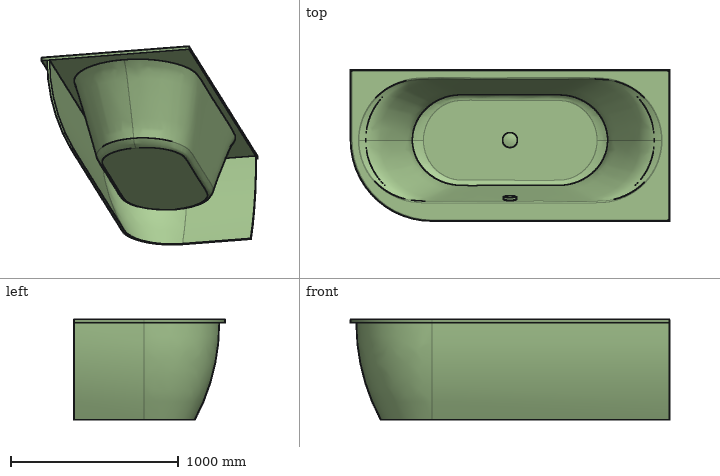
import cadquery as cq
import math

LENGTH = 1900.0
WIDTH = 900.0
HEIGHT = 600.0
LEFT = -LENGTH / 2
RIGHT = LENGTH / 2
FRONT = -WIDTH / 2
BACK = WIDTH / 2

RIM_THICKNESS = 23.0
RIM_FILLET = 8.5
CORNER_RADIUS = 485.0
RIM_BOTTOM = HEIGHT - RIM_THICKNESS

PANEL_THICKNESS = 15.0
PANEL_TOP_INSET = 35.0
PANEL_BOTTOM_INSET = 180.0

BASIN_Y = 32.0
WALL = 15.0
FLOOR_Z = 152.0
LIP_FILLET = 10.0
LIP_HALF_LENGTH = 903.0
LIP_HALF_WIDTH = 365.0
LIP_STRAIGHT = LIP_HALF_LENGTH - LIP_HALF_WIDTH
FOOT_RISE = 23.0
FOOT_HALF_LENGTH = 581.0
FOOT_HALF_WIDTH = 270.0
FOOT_STRAIGHT = 289.0
FOOT_Z = FLOOR_Z + FOOT_RISE
FLOOR_HALF_LENGTH = 517.0
FLOOR_HALF_WIDTH = 238.0
END_WALL_CURVE = [(0.0, 0.0), (0.4, 0.27), (0.7, 0.51), (0.88, 0.7), (1.0, 1.0)]
POINTS_PER_QUARTER = 8
BORDER_STEPS = (0.0, 0.5, 1.0)

DOME_HEIGHT = 8.0
DRAIN_DIAMETER = 90.0
DRAIN_SIDE_HEIGHT = 4.0
OVERFLOW_DIAMETER = 80.0
OVERFLOW_SIDE_HEIGHT = 19.0
OVERFLOW_SINK = 8.0
OVERFLOW_TILT = 6.0
OVERFLOW_Z = 532.0


def blend(start, end, share):
    return start + (end - start) * share


def oval_half(half_length, half_width, straight, z, side):
    """Smooth half of an oval, from its -X tip to its +X tip, on the +Y (1) or -Y (-1) side."""
    end_length = half_length - straight
    angles = [math.pi / 2 * i / POINTS_PER_QUARTER for i in range(POINTS_PER_QUARTER + 1)]
    quarter = [(straight + end_length * math.cos(a), half_width * math.sin(a)) for a in angles]
    middle = [(straight * share, half_width) for share in (0.5, 0.0, -0.5)]
    outline = quarter + middle + [(-x, y) for x, y in reversed(quarter)]
    points = [cq.Vector(x, BASIN_Y + side * y, z) for x, y in reversed(outline)]
    tip_tangents = [cq.Vector(0, side, 0), cq.Vector(0, -side, 0)]
    return cq.Edge.makeSpline(points, tangents=tip_tangents, scale=False)


def oval(half_length, half_width, straight, z):
    halves = [oval_half(half_length, half_width, straight, z, side) for side in (1, -1)]
    return cq.Wire.assembleEdges(halves)


def basin_solid(offset):
    """Wall volume from foot to lip, grown sideways by the offset."""
    sections = []
    for rise, run in END_WALL_CURVE:
        half_length = blend(FOOT_HALF_LENGTH, LIP_HALF_LENGTH, run) + offset
        half_width = blend(FOOT_HALF_WIDTH, LIP_HALF_WIDTH, rise) + offset
        straight = blend(FOOT_STRAIGHT, LIP_STRAIGHT, run)
        sections.append(oval(half_length, half_width, straight, blend(FOOT_Z, HEIGHT, rise)))
    return cq.Workplane(cq.Solid.makeLoft(sections))


def floor_border(offset, floor_z):
    """Dished border that starts level with the floor and steepens towards the foot of the wall."""
    sections = []
    for run in BORDER_STEPS:
        half_length = blend(FLOOR_HALF_LENGTH, FOOT_HALF_LENGTH, run) + offset
        half_width = blend(FLOOR_HALF_WIDTH, FOOT_HALF_WIDTH, run) + offset
        z = blend(floor_z, FOOT_Z, run**2)
        sections.append(oval(half_length, half_width, FOOT_STRAIGHT, z))
    return cq.Workplane(cq.Solid.makeLoft(sections))


def make_rim():
    return (
        cq.Workplane("XY", origin=(0, 0, RIM_BOTTOM))
        .moveTo(LEFT, BACK)
        .lineTo(LEFT, FRONT + CORNER_RADIUS)
        .radiusArc((LEFT + CORNER_RADIUS, FRONT), -CORNER_RADIUS)
        .lineTo(RIGHT, FRONT)
        .lineTo(RIGHT, BACK)
        .close()
        .extrude(RIM_THICKNESS)
        .faces(">Z")
        .edges()
        .fillet(RIM_FILLET)
    )


def make_tub(overflow):
    outside = basin_solid(WALL).union(floor_border(WALL, FLOOR_Z - WALL))
    tub = make_rim().union(outside).cut(basin_solid(0))
    lip = tub.faces(">Z").val().innerWires()[0].Edges()
    tub = tub.newObject(lip).fillet(LIP_FILLET)
    return tub.cut(floor_border(0, FLOOR_Z)).cut(overflow)


def panel_profile(plane):
    """Cross-section in a plane whose local x runs inwards from the rim edge and local y runs up."""
    run = PANEL_BOTTOM_INSET - PANEL_TOP_INSET
    arc_radius = (RIM_BOTTOM**2 + run**2) / (2 * run)
    return (
        cq.Workplane(plane)
        .moveTo(PANEL_TOP_INSET, RIM_BOTTOM)
        .radiusArc((PANEL_BOTTOM_INSET, 0), -arc_radius)
        .lineTo(PANEL_BOTTOM_INSET + PANEL_THICKNESS, 0)
        .radiusArc((PANEL_TOP_INSET + PANEL_THICKNESS, RIM_BOTTOM), arc_radius)
        .close()
    )


def make_panel():
    corner_y = FRONT + CORNER_RADIUS
    corner_x = LEFT + CORNER_RADIUS
    left_plane = cq.Plane(origin=(LEFT, corner_y, 0), xDir=(1, 0, 0), normal=(0, -1, 0))
    front_plane = cq.Plane(origin=(corner_x, FRONT, 0), xDir=(0, 1, 0), normal=(1, 0, 0))
    left_side = panel_profile(left_plane).extrude(corner_y - BACK)
    front_side = panel_profile(front_plane).extrude(RIGHT - corner_x)
    corner = panel_profile(left_plane).revolve(90, (CORNER_RADIUS, 0), (CORNER_RADIUS, 1))
    return left_side.union(corner).union(front_side)


def domed_cover(seat, diameter, side_height):
    """Round cover with a domed face, standing on the local XY plane of its seat."""
    radius = diameter / 2
    dome_radius = (radius**2 + DOME_HEIGHT**2) / (2 * DOME_HEIGHT)
    cover = (
        cq.Workplane("XZ")
        .lineTo(radius, 0)
        .lineTo(radius, side_height)
        .radiusArc((0, side_height + DOME_HEIGHT), -dome_radius)
        .close()
        .revolve(360, (0, 0), (0, 1))
    )
    return cq.Workplane(cover.val().moved(cq.Location(seat)))


def make_drain():
    seat = cq.Plane(origin=(0, BASIN_Y, FLOOR_Z), xDir=(1, 0, 0), normal=(0, 0, 1))
    return domed_cover(seat, DRAIN_DIAMETER, DRAIN_SIDE_HEIGHT)


def make_overflow():
    """Cover on the front wall, sunk into it, facing the back and tilted a little upwards."""
    wall_rise = (OVERFLOW_Z - FOOT_Z) / (HEIGHT - FOOT_Z)
    wall_y = BASIN_Y - blend(FOOT_HALF_WIDTH, LIP_HALF_WIDTH, wall_rise)
    tilt = math.radians(OVERFLOW_TILT)
    seat = cq.Plane(
        origin=(0, wall_y - OVERFLOW_SINK, OVERFLOW_Z),
        xDir=(1, 0, 0),
        normal=(0, math.cos(tilt), math.sin(tilt)),
    )
    return domed_cover(seat, OVERFLOW_DIAMETER, OVERFLOW_SIDE_HEIGHT)


overflow = make_overflow()
tub = make_tub(overflow)
panel = make_panel()
drain = make_drain()

result = cq.Compound.makeCompound([*tub.solids().vals(), *panel.solids().vals(), drain.val(), overflow.val()])